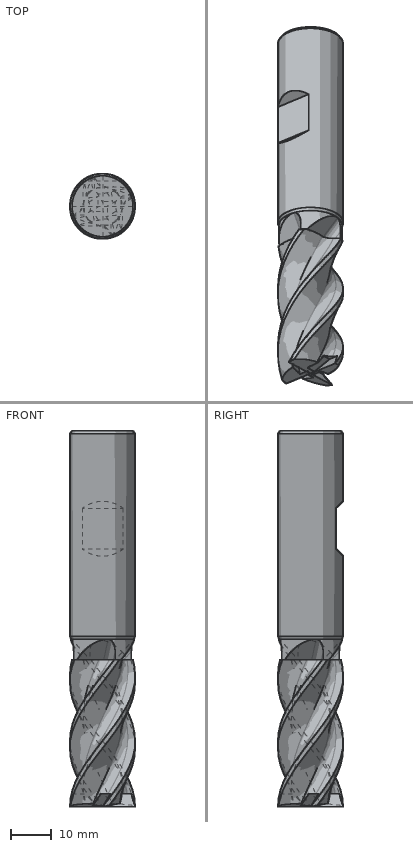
import cadquery as cq
import math

total_length = 92.0
tool_radius = 8.0
tooth_count = 4
tooth_spacing = 360 / tooth_count

cut_length = 36.0
helix_pitch = 64.4
cut_twist = 360 * cut_length / helix_pitch
first_edge_angle = -90.0

land_end = (tool_radius, 10.0)
back_middle = (6.3, 28.7)
back_end = (4.8, 57.0)
root_middle = (5.0, 73.0)
rake_start = (6.2, 84.0)

end_relief_angle = 11.0
hub_reach = 0.9
gash_rise_angle = 42.0
gash_height = 3.2
gash_lean = 2.0
gash_roof_end = 0.4
gash_width = 2.6

shank_bottom = 41.8
neck_top = 41.0
neck_radius = 7.7
top_chamfer_height = 0.7
top_chamfer_width = 0.55

flat_depth = 1.75
flat_length = 9.9
flat_center_z = 68.1

runout_angle = -8.0
runout_wall_offset = 1.4
runout_fillet = 1.8
runout_inner_reach = 3.0

clearance = 1.8
reach = tool_radius + clearance


def polar(radius, angle):
    turn = math.radians(angle)
    return (radius * math.cos(turn), radius * math.sin(turn))


def at_tooth(point, edge_angle):
    """Place a (radius, angle behind the edge) point on the tooth at edge_angle."""
    radius, behind = point
    return polar(radius, edge_angle + behind)


def edge_angles(start):
    return [start + index * tooth_spacing for index in range(tooth_count)]


def make_fluted_blank():
    """Twist the four-tooth section; each tooth has a land, back, root and rake."""
    section = cq.Workplane("XY").moveTo(*polar(tool_radius, first_edge_angle))
    for angle in edge_angles(first_edge_angle):
        land_middle = (tool_radius, land_end[1] / 2)
        section = (
            section
            .threePointArc(at_tooth(land_middle, angle), at_tooth(land_end, angle))
            .threePointArc(at_tooth(back_middle, angle), at_tooth(back_end, angle))
            .threePointArc(at_tooth(root_middle, angle), at_tooth(rake_start, angle))
            .lineTo(*polar(tool_radius, angle + tooth_spacing))
        )
    return section.close().twistExtrude(cut_length, cut_twist)


def make_end_relief(edge_angle):
    """Wedge under one tooth, rising behind its radial end cutting edge."""
    rise = reach * math.tan(math.radians(end_relief_angle))
    wedge = cq.Workplane("YZ").polyline([(0, 0), (reach, 0), (reach, rise)]).close().extrude(reach)
    return wedge.rotate((0, 0, 0), (0, 0, 1), edge_angle)


def make_gash(edge_angle):
    """Notch in front of one tooth: a leaning face, a level roof and a slope down from it.

    Its inner end rises outward from the hub.
    """
    notch = (
        cq.Workplane("YZ")
        .polyline([(0, 0), (gash_lean, gash_height), (-gash_roof_end, gash_height), (-gash_width, 0)])
        .close()
        .extrude(reach)
    )
    rise = (reach - hub_reach) * math.tan(math.radians(gash_rise_angle))
    inner_end = (
        cq.Workplane("XZ")
        .polyline([(hub_reach, 0), (reach, 0), (reach, rise)])
        .close()
        .extrude(reach, both=True)
    )
    return notch.intersect(inner_end).rotate((0, 0, 0), (0, 0, 1), edge_angle)


def make_cutter():
    cutter = make_fluted_blank()
    for angle in edge_angles(first_edge_angle):
        cutter = cutter.cut(make_end_relief(angle)).cut(make_gash(angle))
    return cutter


def make_shank_blank():
    outline = [
        (0, cut_length),
        (neck_radius, cut_length),
        (neck_radius, neck_top),
        (tool_radius, shank_bottom),
        (tool_radius, total_length - top_chamfer_height),
        (tool_radius - top_chamfer_width, total_length),
        (0, total_length),
    ]
    return cq.Workplane("XZ").polyline(outline).close().revolve(360, (0, 0, 0), (0, 1, 0))


def make_flat_cut():
    """Flat with 45 degree ends, cut across the whole shank."""
    floor_y = tool_radius - flat_depth
    depth = flat_depth + clearance
    half_floor = flat_length / 2
    half_mouth = half_floor + depth
    return (
        cq.Workplane("YZ")
        .polyline([
            (floor_y, flat_center_z - half_floor),
            (floor_y + depth, flat_center_z - half_mouth),
            (floor_y + depth, flat_center_z + half_mouth),
            (floor_y, flat_center_z + half_floor),
        ])
        .close()
        .extrude(reach, both=True)
    )


def make_flute_runout(edge_angle):
    """Pocket where one flute runs out of the neck, with a sloping floor and one upright wall."""
    neck_height = neck_top - cut_length
    floor_slope = neck_height / (neck_radius - runout_inner_reach)
    outer_reach = 2 * reach
    wedge = (
        cq.Workplane("XZ", origin=(0, runout_wall_offset, cut_length))
        .polyline([
            (runout_inner_reach, 0),
            (outer_reach, 0),
            (outer_reach, floor_slope * (outer_reach - runout_inner_reach)),
        ])
        .close()
        .extrude(2 * reach)
    )
    inner_corner = cq.selectors.NearestToPointSelector((
        (runout_inner_reach + outer_reach) / 2,
        runout_wall_offset,
        cut_length + floor_slope * (outer_reach - runout_inner_reach) / 2,
    ))
    wedge = wedge.edges(inner_corner).fillet(runout_fillet)
    return wedge.rotate((0, 0, 0), (0, 0, 1), edge_angle + runout_angle)


def make_shank():
    shank = make_shank_blank().cut(make_flat_cut())
    for angle in edge_angles(first_edge_angle + cut_twist):
        shank = shank.cut(make_flute_runout(angle))
    return shank


cutter = make_cutter()
shank = make_shank()
result = cq.Compound.makeCompound([cutter.solids().val(), shank.solids().val()])